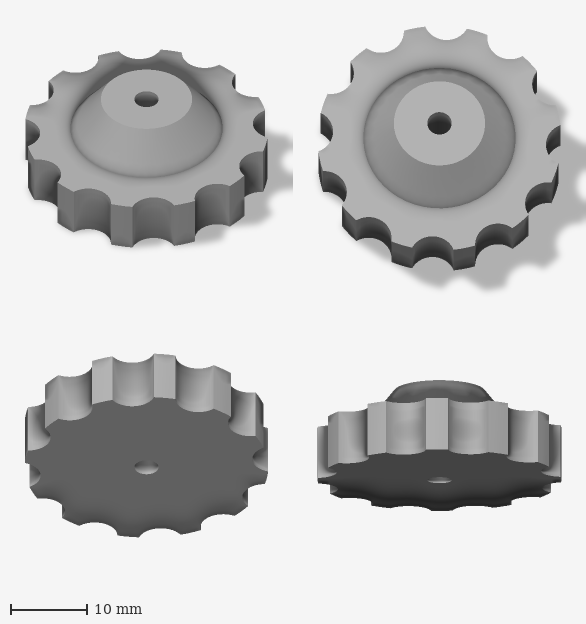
import cadquery as cq
import math

overall_width = 31.53
overall_height = 12.0
wheel_height = 7.0
notch_count = 12
notch_radius = 3.0
notch_center_radius = 17.0
hub_base_radius = 10.0
hub_top_radius = 6.0
bore_diameter = 3.2

corner_x = overall_width / 2
corner_y = math.sqrt(notch_radius**2 - (notch_center_radius - corner_x)**2)
rim_radius = math.hypot(corner_x, corner_y)
hub_height = overall_height - wheel_height


def make_wheel():
    """Disc with round finger notches spaced evenly around its rim."""
    disc = cq.Workplane("XY").circle(rim_radius).extrude(wheel_height)
    notches = (
        cq.Workplane("XY")
        .polarArray(notch_center_radius, 0, 360, notch_count)
        .circle(notch_radius)
        .extrude(wheel_height)
    )
    return disc.cut(notches)


def make_hub():
    """Truncated cone standing on the wheel."""
    cone = cq.Solid.makeCone(
        hub_base_radius, hub_top_radius, hub_height, pnt=cq.Vector(0, 0, wheel_height)
    )
    return cq.Workplane("XY").add(cone)


def make_bore():
    """Straight hole through the full height."""
    return cq.Workplane("XY").circle(bore_diameter / 2).extrude(overall_height)


result = make_wheel().union(make_hub()).cut(make_bore())